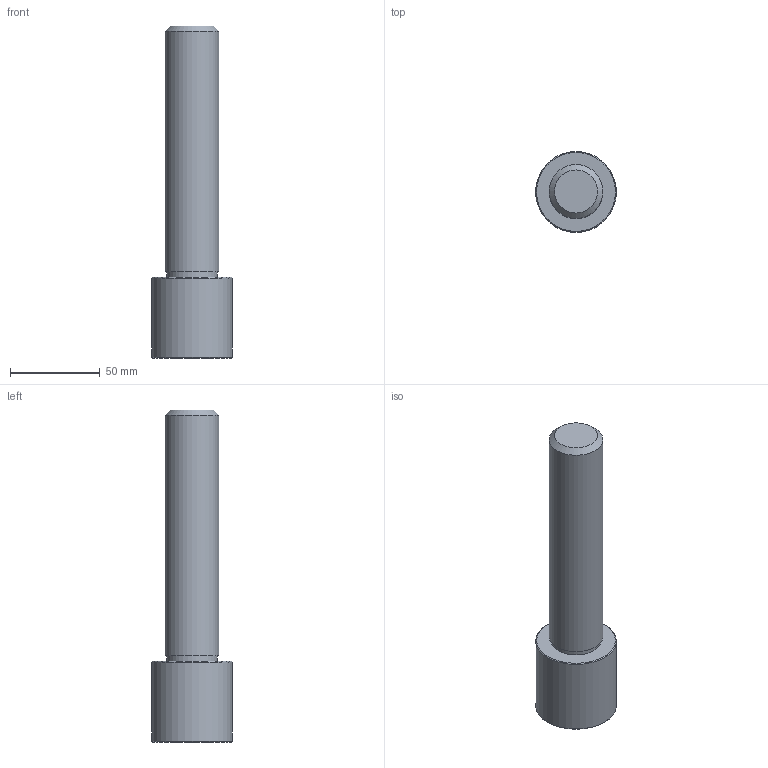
import cadquery as cq

total_length = 185.0
head_diameter = 45.0
head_height = 45.0
head_chamfer = 0.5

shank_diameter = 30.0
tip_chamfer = 3.0

neck_diameter = 28.0
neck_height = 3.0


def make_head():
    """Cylindrical head with both rims broken by a small chamfer."""
    head = cq.Workplane("XY").circle(head_diameter / 2).extrude(head_height)
    return head.faces("<Z or >Z").chamfer(head_chamfer)


def make_shank():
    """Shank profile revolved about Z: square undercut, then the chamfered tip."""
    shank_radius = shank_diameter / 2
    neck_radius = neck_diameter / 2
    tip_radius = shank_radius - tip_chamfer
    shoulder_top = head_height + neck_height
    profile = (
        cq.Workplane("XZ")
        .moveTo(0, head_height)
        .lineTo(neck_radius, head_height)
        .lineTo(neck_radius, shoulder_top)
        .lineTo(shank_radius, shoulder_top)
        .lineTo(shank_radius, total_length - tip_chamfer)
        .lineTo(tip_radius, total_length)
        .lineTo(0, total_length)
        .close()
    )
    return profile.revolve(360, (0, 0, 0), (0, 1, 0))


result = make_head().union(make_shank())